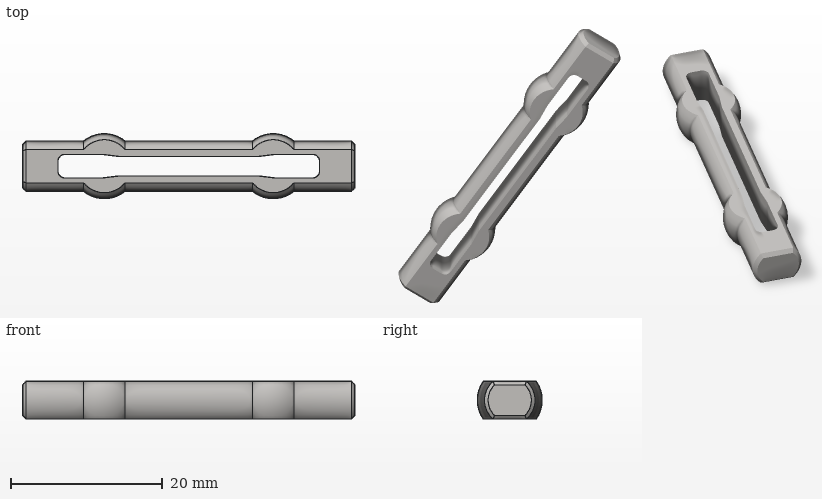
import cadquery as cq

length = 43.75
height = 5.0
rod_diameter = 6.65
end_chamfer = 0.5

ball_diameter = 8.58
ball_spacing = 22.22

slot_length = 34.4
slot_end_width = 3.05
slot_waist_width = 2.55
slot_corner_radius = 0.88
waist_length = 18.38
taper_length = 2.15


def make_rod():
    """Round bar cut by the two flats, chamfered all around both ends."""
    bar = cq.Workplane("YZ").circle(rod_diameter / 2).extrude(length / 2, both=True)
    return trim_to_flats(bar).faces("<X or >X").chamfer(end_chamfer)


def trim_to_flats(body):
    """Keep only the part of the body between the top and bottom flats."""
    return body.intersect(cq.Workplane("XY").box(length, ball_diameter, height))


def make_balls():
    """Two spheres, trimmed to the same flats as the rod."""
    centres = [(-ball_spacing / 2, 0), (ball_spacing / 2, 0)]
    spheres = cq.Workplane("XY").pushPoints(centres).sphere(ball_diameter / 2)
    return trim_to_flats(spheres)


def make_slot():
    """Slot body with rounded corners, tapering to the waist in the middle."""
    end_x = slot_length / 2
    waist_x = waist_length / 2
    taper_x = waist_x + taper_length
    end_y = slot_end_width / 2
    waist_y = slot_waist_width / 2
    half_outline = [
        (-end_x, end_y),
        (-taper_x, end_y),
        (-waist_x, waist_y),
        (waist_x, waist_y),
        (taper_x, end_y),
        (end_x, end_y),
    ]
    mirrored_half = [(x, -y) for x, y in reversed(half_outline)]
    slot = (
        cq.Workplane("XY")
        .polyline(half_outline + mirrored_half)
        .close()
        .extrude(height, both=True)
    )
    return slot.faces("<X or >X").edges("|Z").fillet(slot_corner_radius)


result = make_rod().union(make_balls()).cut(make_slot())